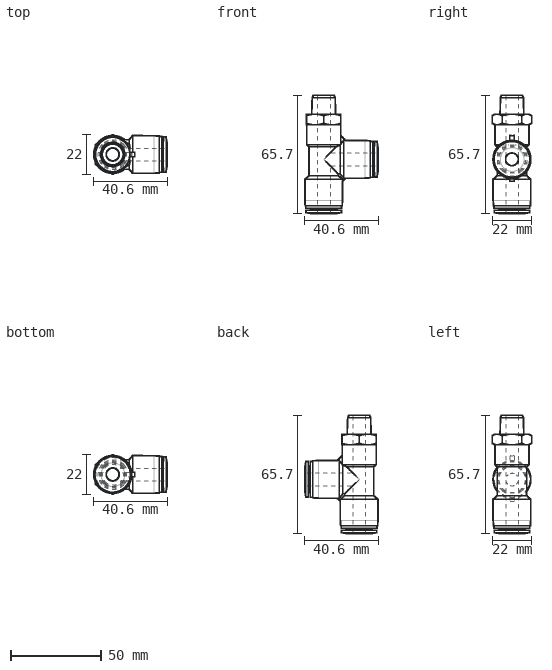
import cadquery as cq
import math

height = 65.7
branch_z = 30.15
branch_reach = 30.15
bore_dia = 7.0
stem_dia = 16.4

socket_dia = 21.0
socket_start = 21.1
shoulder_height = 19.05
sleeve_taper_start = 7.35
sleeve_taper_end = 4.4
sleeve_taper_dia = 20.6
cap_dia = 20.0
cap_end = 2.95
neck_dia = 14.6
neck_flare_dia = 15.0
neck_flare_start = 2.4
release_ring_dia = 19.8
release_ring_top = 2.05
release_ring_edge = 0.6
release_ring_face_dia = 13.15

collar_dia = 19.0
collar_bottom = 38.4
hex_flats = 19.05
hex_bottom = 49.3
hex_top = 55.2
hex_chamfer_angle = 30.0

thread_base_dia = 13.4
thread_tip_dia = 12.9
thread_chamfer_height = 1.45
thread_end_dia = 11.55

rib_width = 2.55
rib_reach = 22.65


def revolve_profile(outline):
    """Revolve (radius, height) points about the Z axis."""
    return cq.Workplane("XZ").polyline(outline).close().revolve(360, (0, 0), (0, 1))


def make_socket(axis_length):
    """Socket with its open end at Z = 0 and a stem reaching axis_length."""
    return revolve_profile([
        (0, 0),
        (release_ring_face_dia / 2, 0),
        (release_ring_dia / 2, release_ring_edge),
        (release_ring_dia / 2, release_ring_top),
        (neck_flare_dia / 2, release_ring_top),
        (neck_dia / 2, neck_flare_start),
        (neck_dia / 2, cap_end),
        (cap_dia / 2, cap_end),
        (cap_dia / 2, sleeve_taper_end),
        (sleeve_taper_dia / 2, sleeve_taper_end),
        (socket_dia / 2, sleeve_taper_start),
        (socket_dia / 2, shoulder_height),
        (stem_dia / 2, socket_start),
        (stem_dia / 2, axis_length),
        (0, axis_length),
    ])


def make_collar():
    bevel = (collar_dia - stem_dia) / 2
    return revolve_profile([
        (0, collar_bottom - bevel),
        (stem_dia / 2, collar_bottom - bevel),
        (collar_dia / 2, collar_bottom),
        (collar_dia / 2, hex_bottom),
        (0, hex_bottom),
    ])


def make_hexagon():
    """Hexagon with flats facing +X and -X, corners bevelled at both ends."""
    corner_dia = hex_flats / math.cos(math.pi / 6)
    bevel = (corner_dia - hex_flats) / 2 * math.tan(math.radians(hex_chamfer_angle))
    prism = (
        cq.Workplane("XY", origin=(0, 0, hex_bottom))
        .transformed(rotate=(0, 0, 90))
        .polygon(6, corner_dia)
        .extrude(hex_top - hex_bottom)
    )
    envelope = revolve_profile([
        (0, hex_bottom),
        (hex_flats / 2, hex_bottom),
        (corner_dia / 2, hex_bottom + bevel),
        (corner_dia / 2, hex_top - bevel),
        (hex_flats / 2, hex_top),
        (0, hex_top),
    ])
    return prism.intersect(envelope)


def make_thread():
    return revolve_profile([
        (0, hex_top),
        (thread_base_dia / 2, hex_top),
        (thread_tip_dia / 2, height - thread_chamfer_height),
        (thread_end_dia / 2, height),
        (0, height),
    ])


def make_ribs():
    """Triangular plate whose 45 degree edges form both corner ribs."""
    return (
        cq.Workplane("XZ", origin=(0, 0, branch_z))
        .polyline([(0, -rib_reach), (rib_reach, 0), (0, rib_reach)])
        .close()
        .extrude(rib_width / 2, both=True)
    )


def along_branch(shape):
    """Move a shape from the run axis to the branch, its Z = 0 end outermost."""
    return shape.rotate((0, 0, 0), (0, 1, 0), -90).translate((branch_reach, 0, branch_z))


run = make_socket(collar_bottom)
branch = along_branch(make_socket(branch_reach))
body = run.union(branch).union(make_ribs())
body = body.union(make_collar()).union(make_hexagon()).union(make_thread())

run_bore = cq.Workplane("XY").circle(bore_dia / 2).extrude(height)
branch_bore = along_branch(cq.Workplane("XY").circle(bore_dia / 2).extrude(branch_reach))
result = body.cut(run_bore).cut(branch_bore)